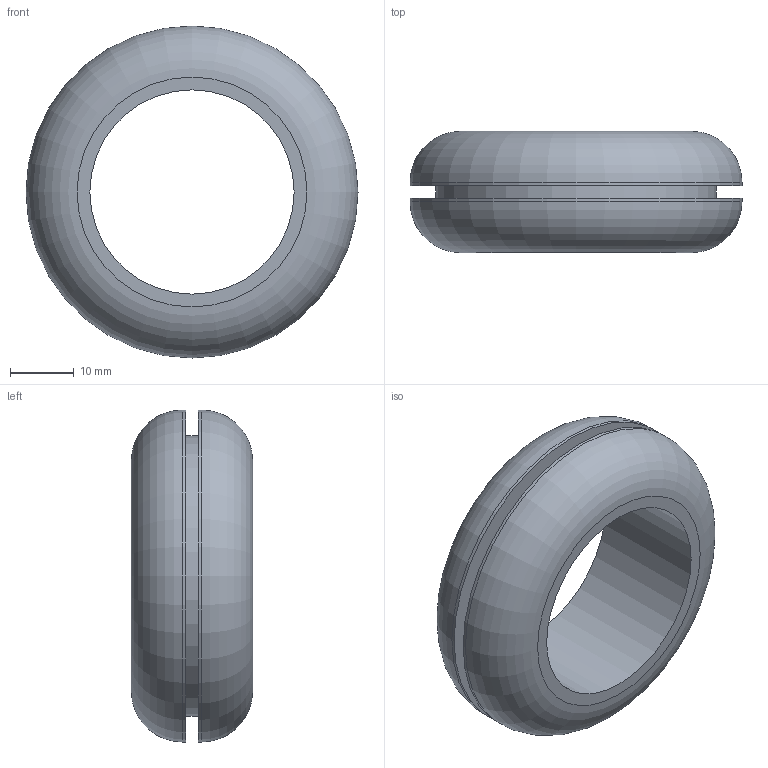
import cadquery as cq

outer_diameter = 52.0
bore_diameter = 32.0
groove_diameter = 44.0
total_width = 19.0
groove_width = 2.0
flange_rounding = 8.0

outer_radius = outer_diameter / 2
half_width = total_width / 2


def ring_body():
    """Plain ring with its outer rims rounded, leaving a narrow flat face around the bore."""
    profile = (
        cq.Workplane("XY")
        .moveTo(bore_diameter / 2, -half_width)
        .lineTo(outer_radius - flange_rounding, -half_width)
        .radiusArc((outer_radius, -half_width + flange_rounding), -flange_rounding)
        .lineTo(outer_radius, half_width - flange_rounding)
        .radiusArc((outer_radius - flange_rounding, half_width), -flange_rounding)
        .lineTo(bore_diameter / 2, half_width)
        .close()
    )
    return profile.revolve(360, (0, 0, 0), (0, 1, 0))


def panel_groove():
    """Ring of material removed midway along the width to form the groove."""
    return (
        cq.Workplane("XZ", origin=(0, groove_width / 2, 0))
        .circle(outer_diameter)
        .circle(groove_diameter / 2)
        .extrude(groove_width)
    )


result = ring_body().cut(panel_groove())